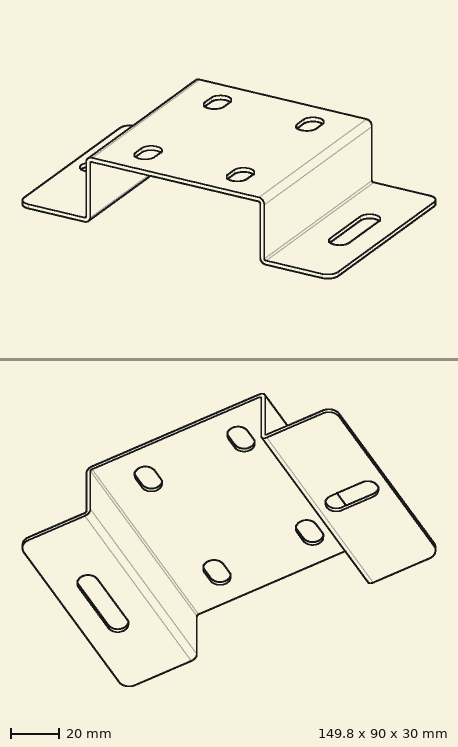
import cadquery as cq

length = 149.8
width = 90.0
height = 30.0

thickness = 2.0
inner_bend_radius = 0.7
outer_bend_radius = inner_bend_radius + thickness
raised_length = 85.0
foot_corner_radius = 5.0

slot_width = 9.0
plate_slot_length = 14.1
plate_slot_spacing_x = 44.0
plate_slot_spacing_y = 58.0
left_slot_length = 24.0
left_slot_x = -58.5
right_slot_length = 34.0
right_slot_x = 60.0


def block(x_size, z_bottom, z_top):
    """Full-width block centred on X and Y."""
    return (
        cq.Workplane("XY")
        .workplane(offset=z_bottom)
        .rect(x_size, width)
        .extrude(z_top - z_bottom)
    )


def bent_sheet():
    """Top-hat section: raised plate, two webs and two feet, with rounded bends."""
    channel_length = raised_length - 2 * thickness

    feet = block(length, 0, thickness).edges("|Z").fillet(foot_corner_radius)
    hat = block(raised_length, 0, height).edges("|Y and >Z").fillet(outer_bend_radius)
    foot_bend_edges = cq.selectors.BoxSelector(
        (-length / 2 + thickness, -width, thickness / 2),
        (length / 2 - thickness, width, 2 * thickness),
    )
    body = feet.union(hat).edges("|Y").edges(foot_bend_edges).fillet(inner_bend_radius)

    channel = block(channel_length, 0, height - thickness)
    channel = channel.edges("|Y and >Z").fillet(inner_bend_radius)
    body = body.cut(channel)
    inner_foot_edges = cq.selectors.BoxSelector(
        (-raised_length / 2, -width, -thickness / 2),
        (raised_length / 2, width, thickness / 2),
    )
    return body.edges("|Y").edges(inner_foot_edges).fillet(outer_bend_radius)


def slot_cutter(centers, slot_length, angle):
    """Vertical through slots; angle 0 runs along X and 90 along Y."""
    return cq.Workplane("XY").pushPoints(centers).slot2D(slot_length, slot_width, angle).extrude(height)


plate_slot_centers = [
    (side_x * plate_slot_spacing_x / 2, side_y * plate_slot_spacing_y / 2)
    for side_x in (-1, 1)
    for side_y in (-1, 1)
]

result = (
    bent_sheet()
    .cut(slot_cutter(plate_slot_centers, plate_slot_length, 90))
    .cut(slot_cutter([(left_slot_x, 0)], left_slot_length, 0))
    .cut(slot_cutter([(right_slot_x, 0)], right_slot_length, 90))
)